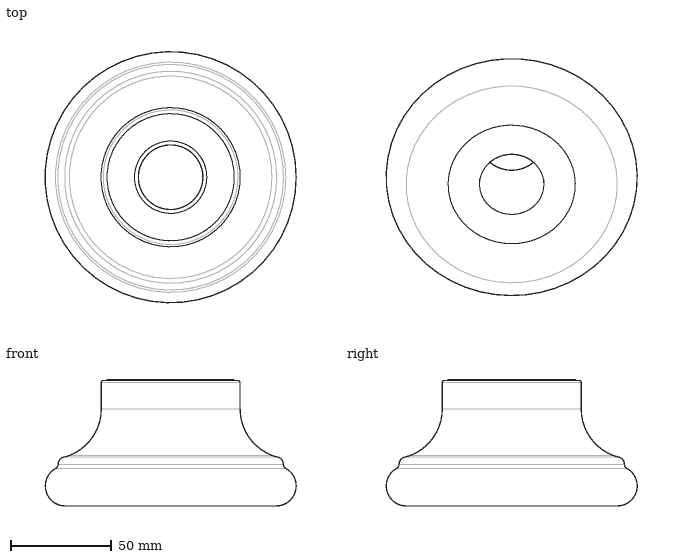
import cadquery as cq
import math

rim_radius = 62.5
rim_round = 10.0
bead_radius = 56.1
bead_round = 3.7
bead_z = 20.7
bead_top_radius = 52.7
cove_bottom_radius = 50.3
cove_bottom_z = 25.2
neck_radius = 69.2 / 2
cove_top_z = 48.2
housing_top_z = 62.5
neck_round = 1.1

sleeve_radius = 63.2 / 2
sleeve_top_z = 63.0
hole_radius = 32.0 / 2
hole_chamfer = 2.0


def point_on_arc(center, radius, angle):
    """Point on a circle in the radius-height plane, angle in radians."""
    return (center[0] + radius * math.cos(angle), center[1] + radius * math.sin(angle))


def arc_middle_and_end(center, radius, start_angle, end_angle):
    """Middle and end points of an arc."""
    middle = point_on_arc(center, radius, (start_angle + end_angle) / 2)
    return middle, point_on_arc(center, radius, end_angle)


def make_housing():
    """Revolved shell: rounded rim, bead, concave flare and straight neck."""
    rim_center = (rim_radius - rim_round, rim_round)
    bead_center = (bead_radius - bead_round, bead_z)

    across = bead_radius - rim_center[0]
    up = bead_z - rim_center[1]
    blend = (across**2 + up**2 - rim_round**2) / (2 * (rim_round - across))
    blend_center = (bead_radius + blend, bead_z)
    blend_angle = math.atan2(up, across + blend)

    cove_across = cove_bottom_radius - neck_radius
    cove_drop = cove_top_z - cove_bottom_z
    cove_round = (cove_across**2 + cove_drop**2) / (2 * cove_across)
    cove_center = (neck_radius + cove_round, cove_top_z)
    cove_angle = math.pi + math.atan2(cove_drop, cove_round - cove_across)

    bead_angle = math.acos((bead_top_radius - bead_center[0]) / bead_round)

    profile = (
        cq.Workplane("XZ")
        .moveTo(sleeve_radius, 0)
        .lineTo(rim_center[0], 0)
        .threePointArc(*arc_middle_and_end(rim_center, rim_round, -math.pi / 2, blend_angle))
        .threePointArc(*arc_middle_and_end(blend_center, blend, math.pi + blend_angle, math.pi))
        .threePointArc(*arc_middle_and_end(bead_center, bead_round, 0, bead_angle))
        .lineTo(cove_bottom_radius, cove_bottom_z)
        .threePointArc(*arc_middle_and_end(cove_center, cove_round, cove_angle, math.pi))
        .lineTo(neck_radius, housing_top_z - neck_round)
        .threePointArc(
            *arc_middle_and_end(
                (neck_radius - neck_round, housing_top_z - neck_round), neck_round, 0, math.pi / 2
            )
        )
        .lineTo(sleeve_radius, housing_top_z)
        .close()
    )
    return profile.revolve(360, (0, 0, 0), (0, 1, 0))


def make_sleeve():
    """Straight sleeve with a through hole chamfered at the top."""
    profile = (
        cq.Workplane("XZ")
        .moveTo(hole_radius, 0)
        .lineTo(sleeve_radius, 0)
        .lineTo(sleeve_radius, sleeve_top_z)
        .lineTo(hole_radius + hole_chamfer, sleeve_top_z)
        .lineTo(hole_radius, sleeve_top_z - hole_chamfer)
        .close()
    )
    return profile.revolve(360, (0, 0, 0), (0, 1, 0))


housing = make_housing()
sleeve = make_sleeve()

result = cq.Compound.makeCompound([housing.val(), sleeve.val()])